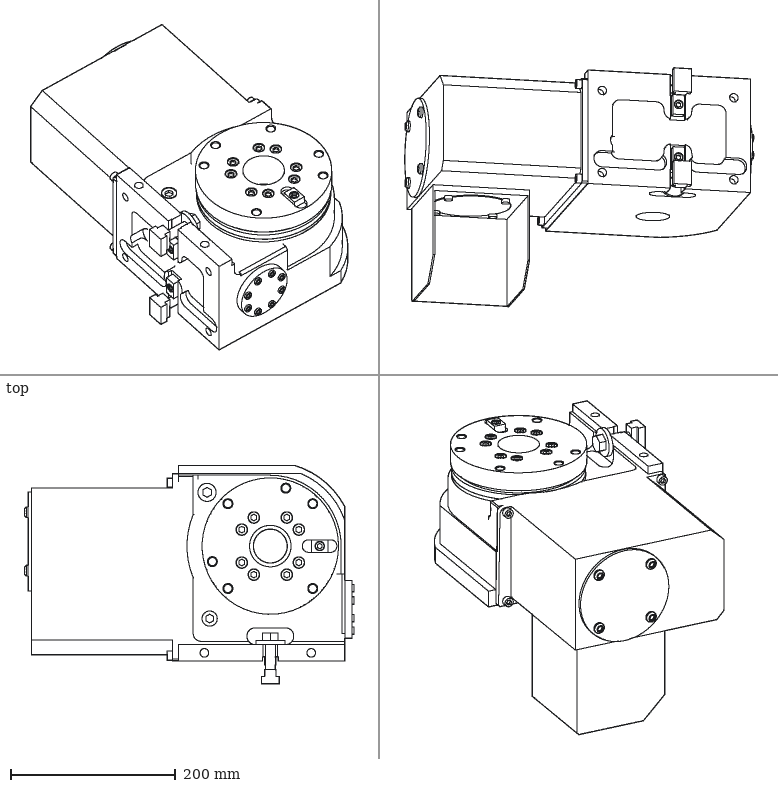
import cadquery as cq
import math


PLATE_LEFT, PLATE_RIGHT = -111.5, 90.2
PLATE_FRONT = -139.5
PLATE_THICKNESS = 20.0
PLATE_BACK = PLATE_FRONT + PLATE_THICKNESS
PLATE_HEIGHT = 142.0
MID_Z = PLATE_HEIGHT / 2
PLATE_HOLE_DIA = 10.5
PLATE_HOLE_DEPTH = 16.0
FACE_HOLE_XS = (-94.0, 69.5)
FACE_HOLE_ZS = (14.8, 117.5)
TOP_HOLE_XS = (-80.0, 49.5)

POCKET_LEFT, POCKET_RIGHT = -81.0, 60.0
POCKET_HALF_HEIGHT = 36.0
POCKET_DEPTH = 19.0
POCKET_CORNER = 10.0
POCKET_FLOOR_FILLET = 6.5
LOBE_HALF_WIDTH = 17.0
LOBE_TIP_OFFSET = 15.5
RELIEF_SPANS = ((-104.2, -14.0), (14.0, 85.5))
RELIEF_WIDTH, RELIEF_DEPTH = 20.5, 8.8
RELIEF_Z = 32.0
RELIEF_HOLE_DIA = 20.0
RELIEF_HOLE_X, RELIEF_HOLE_Z = -73.5, 56.0

CLAMP_SLOT_WIDTH = 17.0
CLAMP_SLOT_OFFSET = 46.5
KEYWAY_WIDTH = 18.8
KEYWAY_DEPTH = 5.0
KEY_WIDTH = 14.0
KEY_NEAR, KEY_FAR = 20.5, 45.5
KEY_PROUD = 4.8
KEY_SCREW_DIA = 10.8
BOLT_OFFSET = 58.0
BOLT_DIA = 12.0
BOLT_FRONT = -167.0
BOLT_HEAD_WIDTH, BOLT_HEAD_HEIGHT, BOLT_HEAD_THICKNESS = 22.0, 29.0, 9.0
BOLT_NECK_WIDTH, BOLT_NECK_LENGTH = 14.0, 8.0
WASHER_DIA, WASHER_THICKNESS = 35.0, 5.0
NUT_FLATS, NUT_THICKNESS = 19.0, 8.8
NUT_POCKET_WIDTH, NUT_POCKET_REACH = 56.7, 20.5
NUT_POCKET_CORNER = 10.0
NUT_POCKET_OFFSET = 35.0

HOUSING_BACK = 88.0
UPPER_BACK = 86.0
HOUSING_TOP = 131.8
FLOOR_Z = 109.5
UPPER_CORNER_RADIUS = UPPER_BACK
UPPER_RIGHT_END = -34.0
UPPER_EDGE_FILLET = 4.8
RIM_MARGIN = 1.0
RIGHT_EDGE_CHAMFER = 3.5
LOWER_CORNER_RADIUS = 95.5
LOWER_BODY_TOP = 72.0
BASE_BACK = 98.0
BASE_HEIGHT = 21.0
BASE_CORNER_RADIUS = 102.2
FLOOR_LEFT, FLOOR_FRONT = -93.5, -115.5
FLOOR_CLEARANCE_RADIUS = 101.0
FLOOR_FILLET = 5.5
FRONT_FLOOR_FILLET = 9.5
NECK_EDGE_CHAMFER = 1.5
PLUG_RECESS = 1.0
PLUGS = ((-76.5, 65.0, 22.0, 10.5), (-73.5, -88.0, 18.5, 9.0))

TABLE_TOP = 151.0
TABLE_DIA, TABLE_THICKNESS = 165.5, 24.0
RING_DIA, RING_TOP = 162.5, 121.0
BASE_RING_DIA, BASE_RING_TOP = 163.0, 114.0
GROOVE_DIA = 151.7
BORE_DIA, BORE_DEPTH = 50.5, 48.0
THROUGH_BORE_DIA = 40.7
TAP_CIRCLE_RADIUS = 72.5
TAP_ANGLES = (45, 75, 135, 195, 225, 315)
TAP_DIA, TAP_MOUTH_DIA, TAP_DEPTH = 10.0, 12.0, 18.0
TABLE_SCREW_RADIUS = 40.0
TABLE_SCREW_ANGLES = (30, 60, 120, 150, 210, 240, 300, 330)
TABLE_SCREW_DIA = 14.0
TABLE_SLOT_START, TABLE_SLOT_END = 38.7, 80.5
TABLE_SLOT_WIDTH, TABLE_SLOT_DEPTH = 15.0, 4.8
TABLE_KEY_X, TABLE_KEY_LENGTH, TABLE_KEY_TOP = 60.0, 20.5, 155.7
TABLE_KEY_SCREW_DIA = 11.0

FLANGE_LEFT = -118.5
FLANGE_BOTTOM, FLANGE_TOP = 0.8, HOUSING_TOP
FLANGE_FRONT = -139.0
FLANGE_EDGE_CHAMFER = 2.0
FLANGE_CORNER = 8.0
FLANGE_SCREW_DIA, FLANGE_SCREW_LENGTH, FLANGE_SCREW_HEX = 11.0, 6.5, 5.5
FLANGE_SCREW_YS, FLANGE_SCREW_ZS = (-133.0, 76.5), (7.0, 125.5)
MOTOR_LEFT = -289.5
MOTOR_FRONT, MOTOR_BACK = -131.8, 70.5
MOTOR_BOTTOM, MOTOR_TOP = 10.5, HOUSING_TOP
MOTOR_TOP_CHAMFER = (18.0, 16.5)
MOTOR_BOTTOM_CHAMFER = (10.0, 10.5)
END_COVER_DIA, END_COVER_THICKNESS = 120.0, 4.0
MOTOR_AXIS_Y, MOTOR_AXIS_Z = 5.5, 71.0
COVER_SCREW_SPACING = 70.5
COVER_SCREW_DIA, COVER_SCREW_HEIGHT, COVER_SCREW_HEX = 13.0, 4.5, 6.0

SIDE_COVER_DIA, SIDE_COVER_THICKNESS = 70.3, 8.8
SIDE_COVER_Y, SIDE_COVER_Z = -76.5, 67.0
SIDE_SCREW_RADIUS, SIDE_SCREW_COUNT = 28.0, 8
SIDE_SCREW_DIA, SIDE_SCREW_HEIGHT, SIDE_SCREW_HEX = 9.0, 2.5, 5.0

GUARD_LEFT, GUARD_RIGHT = -284.7, -165.0
GUARD_FRONT, GUARD_BACK = -53.5, 66.0
GUARD_BOTTOM = -106.2
GUARD_CHAMFER = 29.0
GUARD_WALL = 2.0
GUARD_BEND = 2.5
GUARD_TOP_THICKNESS = 7.0
GUARD_COVER_DIA, GUARD_COVER_THICKNESS = 97.5, 1.0
GUARD_SCREW_DIA, GUARD_SCREW_HEIGHT = 10.0, 4.5

SCREW_RECESS, SCREW_HEAD_HEIGHT = 4.8, 3.5
SCREW_GAP = 0.8
SCREW_SOCKET_DEPTH = 2.5
SCREW_SOCKET_RATIO = 0.5
DRILL_POINT_ANGLE = 118.0

AXES = {"x": (1, 0, 0), "y": (0, 1, 0), "z": (0, 0, 1)}


def block(x0, x1, y0, y1, z0, z1):
    """Box given by its limits."""
    return cq.Workplane("XY").box(x1 - x0, y1 - y0, z1 - z0, centered=False).translate((x0, y0, z0))


def along(direction, distance):
    """Vector of the given length along a signed axis such as '-y'."""
    sign = -1 if direction[0] == "-" else 1
    return tuple(sign * distance * c for c in AXES[direction[-1]])


def moved(point, direction, distance):
    return tuple(p + d for p, d in zip(point, along(direction, distance)))


def polar(radius, angle, z):
    """Point at a radius and an angle, in degrees, about the table axis."""
    a = math.radians(angle)
    return (radius * math.cos(a), radius * math.sin(a), z)


def plane(point, direction):
    """Work plane at a point, whose normal is a signed axis."""
    x_dir = AXES["z"] if direction[-1] == "x" else AXES["x"]
    return cq.Workplane(cq.Plane(point, x_dir, along(direction, 1)))


def rod(point, direction, diameter, length):
    return plane(point, direction).circle(diameter / 2).extrude(length)


def cone(point, direction, start_diameter, end_diameter, length):
    solid = cq.Solid.makeCone(start_diameter / 2, end_diameter / 2, length,
                              cq.Vector(*point), cq.Vector(*along(direction, 1)))
    return cq.Workplane(solid)


def hexagon(point, direction, flats, length):
    """Hexagonal prism with two corners on the local Y axis."""
    corners = flats / math.cos(math.pi / 6)
    prism = plane(point, direction).transformed(rotate=(0, 0, 90)).polygon(6, corners)
    return prism.extrude(length)


def cap_screw(point, direction, diameter, height, flats):
    """Screw head standing on a face, with a hexagonal socket half as deep as the head."""
    head = rod(point, direction, diameter, height)
    return head.cut(hexagon(moved(point, direction, height / 2), direction, flats, height))


def drilled_hole(point, direction, diameter, depth):
    """Cutter for a blind hole with a conical bottom."""
    point_length = diameter / 2 / math.tan(math.radians(DRILL_POINT_ANGLE / 2))
    tip = cone(moved(point, direction, depth), direction, diameter, 0, point_length)
    return rod(point, direction, diameter, depth).union(tip)


def recessed_screw(body, point, direction, diameter):
    """Sink a socket screw into a face; the direction points into the body."""
    body = body.cut(rod(point, direction, diameter, SCREW_RECESS))
    head_top = moved(point, direction, SCREW_RECESS - SCREW_HEAD_HEIGHT)
    head = rod(head_top, direction, diameter - SCREW_GAP, SCREW_HEAD_HEIGHT)
    socket = hexagon(head_top, direction, SCREW_SOCKET_RATIO * diameter, SCREW_SOCKET_DEPTH)
    return body.union(head.cut(socket))


def rounded_slab(back, radius, height):
    """Slab whose back right corner is an arc about the table axis."""
    arc_x = math.sqrt(radius**2 - back**2)
    arc_y = math.sqrt(radius**2 - PLATE_RIGHT**2)
    middle = math.atan2(back, arc_x) / 2 + math.atan2(arc_y, PLATE_RIGHT) / 2
    outline = (
        cq.Workplane("XY")
        .moveTo(PLATE_LEFT, PLATE_BACK)
        .lineTo(PLATE_RIGHT, PLATE_BACK)
        .lineTo(PLATE_RIGHT, arc_y)
        .threePointArc((radius * math.cos(middle), radius * math.sin(middle)), (arc_x, back))
        .lineTo(PLATE_LEFT, back)
        .close()
    )
    return outline.extrude(height)


def upper_body():
    """Upper part of the housing, rounded about the table axis."""
    diagonal = UPPER_CORNER_RADIUS * math.sqrt(0.5)
    body = (
        cq.Workplane("XY")
        .moveTo(FLOOR_LEFT, PLATE_BACK)
        .lineTo(PLATE_RIGHT, PLATE_BACK)
        .lineTo(PLATE_RIGHT, UPPER_RIGHT_END)
        .lineTo(UPPER_CORNER_RADIUS, UPPER_RIGHT_END)
        .lineTo(UPPER_CORNER_RADIUS, 0)
        .threePointArc((diagonal, diagonal), (0, UPPER_BACK))
        .lineTo(FLOOR_LEFT, UPPER_BACK)
        .close()
        .extrude(FLOOR_Z)
    )
    rim_zone = cq.selectors.BoxSelector(
        (PLATE_LEFT / 2, 0, LOWER_BODY_TOP), (PLATE_RIGHT, HOUSING_BACK, HOUSING_TOP))
    side_zone = cq.selectors.BoxSelector(
        (UPPER_CORNER_RADIUS - RIM_MARGIN, UPPER_RIGHT_END, LOWER_BODY_TOP),
        (UPPER_CORNER_RADIUS + RIM_MARGIN, 0, HOUSING_TOP))
    rim = body.faces(">Z").edges(rim_zone + side_zone)
    body = rim.fillet(UPPER_EDGE_FILLET)
    return body.edges(">X and >Z").chamfer(RIGHT_EDGE_CHAMFER)


def raised_border():
    """Motor-side neck and front rim that stand above the sunken housing top."""
    border = block(PLATE_LEFT, PLATE_RIGHT, PLATE_BACK, UPPER_BACK, LOWER_BODY_TOP, HOUSING_TOP)
    border = border.edges("|X and >Y and >Z").chamfer(NECK_EDGE_CHAMFER)
    far = 2 * PLATE_RIGHT
    corner_block = block(FLOOR_LEFT, far, FLOOR_FRONT, far, FLOOR_Z, TABLE_TOP)
    corner_block = corner_block.edges("<X and <Z").fillet(FLOOR_FILLET)
    corner_block = corner_block.edges("<Y and <Z").fillet(FRONT_FLOOR_FILLET)
    clearance = rod((0, 0, FLOOR_Z), "z", 2 * FLOOR_CLEARANCE_RADIUS, HOUSING_TOP)
    clearance = clearance.faces("<Z").edges().fillet(FLOOR_FILLET)
    open_side = block(FLOOR_LEFT + FLOOR_FILLET, far, FLOOR_FRONT + FRONT_FLOOR_FILLET, far, 0, FLOOR_Z)
    return border.cut(corner_block).cut(clearance).cut(open_side)


def add_plugs(body):
    for x, y, diameter, flats in PLUGS:
        top = (x, y, FLOOR_Z)
        body = body.cut(rod(top, "-z", diameter, PLUG_RECESS))
        body = body.cut(hexagon(top, "-z", flats, SCREW_RECESS))
    return body


def housing():
    body = rounded_slab(HOUSING_BACK, LOWER_CORNER_RADIUS, LOWER_BODY_TOP)
    body = body.union(rounded_slab(BASE_BACK, BASE_CORNER_RADIUS, BASE_HEIGHT))
    body = body.union(upper_body()).union(raised_border())
    return add_plugs(body)


def pocket_cutter():
    """Bow-tie pocket around the two clamp-slot lobes, with a filleted floor."""
    r = POCKET_CORNER
    right, left = POCKET_RIGHT, POCKET_LEFT
    lobe, tip, half = LOBE_HALF_WIDTH, LOBE_TIP_OFFSET, POCKET_HALF_HEIGHT
    outline = plane((0, PLATE_FRONT, MID_Z), "-y").polyline([
        (left, -half), (-lobe, -half), (-lobe, -tip), (lobe, -tip), (lobe, -half), (right, -half),
        (right, half), (lobe, half), (lobe, tip), (-lobe, tip), (-lobe, half), (left, half),
    ])
    pocket = outline.close().extrude(-POCKET_DEPTH)
    pocket = pocket.edges("|Y").fillet(r)
    return pocket.faces(">Y").edges().fillet(POCKET_FLOOR_FILLET)


def relief_cutters():
    """Two shallow relief slots, and a round relief as deep as the pocket it opens into."""
    cutter = rod((RELIEF_HOLE_X, PLATE_FRONT, RELIEF_HOLE_Z), "y", RELIEF_HOLE_DIA, POCKET_DEPTH)
    for start, end in RELIEF_SPANS:
        slot = plane(((start + end) / 2, PLATE_FRONT, RELIEF_Z), "-y").slot2D(end - start, RELIEF_WIDTH)
        cutter = cutter.union(slot.extrude(-RELIEF_DEPTH))
    return cutter


def mounting_plate():
    plate = block(PLATE_LEFT, PLATE_RIGHT, PLATE_FRONT, PLATE_BACK, 0, PLATE_HEIGHT)
    plate = plate.cut(pocket_cutter()).cut(relief_cutters())
    for x in FACE_HOLE_XS:
        for z in FACE_HOLE_ZS:
            plate = plate.cut(drilled_hole((x, PLATE_FRONT, z), "y", PLATE_HOLE_DIA, PLATE_HOLE_DEPTH))
    for x in TOP_HOLE_XS:
        point = (x, (PLATE_FRONT + PLATE_BACK) / 2, PLATE_HEIGHT)
        plate = plate.cut(drilled_hole(point, "-z", PLATE_HOLE_DIA, PLATE_HOLE_DEPTH))
    return plate


def clamp_cutter():
    """Upper clamp slot, keyway and nut pocket."""
    reach = PLATE_HEIGHT
    slot = block(-CLAMP_SLOT_WIDTH / 2, CLAMP_SLOT_WIDTH / 2, PLATE_FRONT, PLATE_BACK,
                 MID_Z + CLAMP_SLOT_OFFSET, MID_Z + reach)
    keyway = block(-KEYWAY_WIDTH / 2, KEYWAY_WIDTH / 2, PLATE_FRONT, PLATE_FRONT + KEYWAY_DEPTH,
                   MID_Z + LOBE_TIP_OFFSET, MID_Z + reach)
    nut_pocket = block(-NUT_POCKET_WIDTH / 2, NUT_POCKET_WIDTH / 2, PLATE_BACK,
                       PLATE_BACK + NUT_POCKET_REACH, MID_Z + NUT_POCKET_OFFSET, MID_Z + reach)
    nut_pocket = nut_pocket.edges("|Z").fillet(NUT_POCKET_CORNER)
    return slot.union(keyway).union(nut_pocket)


def clamp_hardware():
    """Upper alignment key, with its screw, and upper T-bolt with washer and nut."""
    key_front = PLATE_FRONT - KEY_PROUD
    key = block(-KEY_WIDTH / 2, KEY_WIDTH / 2, key_front, PLATE_FRONT + KEYWAY_DEPTH,
                MID_Z + KEY_NEAR, MID_Z + KEY_FAR)
    key = recessed_screw(key, (0, key_front, MID_Z + (KEY_NEAR + KEY_FAR) / 2), "y", KEY_SCREW_DIA)

    z = MID_Z + BOLT_OFFSET
    nut_face = PLATE_BACK + WASHER_THICKNESS
    head_back = BOLT_FRONT + BOLT_HEAD_THICKNESS
    z_low, z_high = z - BOLT_HEAD_HEIGHT / 2, z + BOLT_HEAD_HEIGHT / 2
    head = block(-BOLT_HEAD_WIDTH / 2, BOLT_HEAD_WIDTH / 2, BOLT_FRONT, head_back, z_low, z_high)
    neck = block(-BOLT_NECK_WIDTH / 2, BOLT_NECK_WIDTH / 2, head_back, head_back + BOLT_NECK_LENGTH,
                 z_low, z_high)
    shank = rod((0, head_back, z), "y", BOLT_DIA, nut_face - head_back)
    washer = rod((0, PLATE_BACK, z), "y", WASHER_DIA, WASHER_THICKNESS)
    nut = hexagon((0, nut_face, z), "y", NUT_FLATS, NUT_THICKNESS)
    return key.union(head).union(neck).union(shank).union(washer).union(nut)


def mirrored_pair(upper):
    """The upper shape together with its mirror image about the plate's mid height."""
    return upper.union(upper.mirror("XY", (0, 0, MID_Z)))


def rotary_table():
    table = rod((0, 0, TABLE_TOP), "-z", TABLE_DIA, TABLE_THICKNESS)
    table = table.union(rod((0, 0, FLOOR_Z), "z", GROOVE_DIA, TABLE_TOP - TABLE_THICKNESS - FLOOR_Z))
    table = table.union(rod((0, 0, FLOOR_Z), "z", RING_DIA, RING_TOP - FLOOR_Z))
    table = table.union(rod((0, 0, FLOOR_Z), "z", BASE_RING_DIA, BASE_RING_TOP - FLOOR_Z))
    for angle in TAP_ANGLES:
        point = polar(TAP_CIRCLE_RADIUS, angle, TABLE_TOP)
        table = table.cut(rod(point, "-z", TAP_DIA, TAP_DEPTH))
        mouth_depth = (TAP_MOUTH_DIA - TAP_DIA) / 2
        table = table.cut(cone(point, "-z", TAP_MOUTH_DIA, TAP_DIA, mouth_depth))
    for angle in TABLE_SCREW_ANGLES:
        table = recessed_screw(table, polar(TABLE_SCREW_RADIUS, angle, TABLE_TOP), "-z", TABLE_SCREW_DIA)
    return add_table_key(table)


def add_table_key(table):
    """Round-ended slot in the table face, holding a screwed-down key."""
    slot_mid = (TABLE_SLOT_START + TABLE_SLOT_END) / 2
    slot = plane((slot_mid, 0, TABLE_TOP), "z").slot2D(TABLE_SLOT_END - TABLE_SLOT_START, TABLE_SLOT_WIDTH)
    table = table.cut(slot.extrude(-TABLE_SLOT_DEPTH))
    half_length, half_width = TABLE_KEY_LENGTH / 2, TABLE_SLOT_WIDTH / 2
    key = block(TABLE_KEY_X - half_length, TABLE_KEY_X + half_length, -half_width, half_width,
                TABLE_TOP - TABLE_SLOT_DEPTH, TABLE_KEY_TOP)
    key = recessed_screw(key, (TABLE_KEY_X, 0, TABLE_KEY_TOP), "-z", TABLE_KEY_SCREW_DIA)
    return table.union(key)


def cut_bore(body):
    body = body.cut(rod((0, 0, TABLE_TOP), "-z", BORE_DIA, BORE_DEPTH))
    return body.cut(rod((0, 0, TABLE_TOP), "-z", THROUGH_BORE_DIA, TABLE_TOP))


def motor_flange():
    """Flange with a slightly sloping back, screwed to the housing at its corners."""
    flange = cq.Workplane("YZ", origin=(FLANGE_LEFT, 0, 0)).polyline([
        (FLANGE_FRONT, FLANGE_BOTTOM),
        (HOUSING_BACK, FLANGE_BOTTOM),
        (UPPER_BACK, FLANGE_TOP),
        (FLANGE_FRONT, FLANGE_TOP),
    ]).close().extrude(PLATE_LEFT - FLANGE_LEFT)
    flange = flange.edges("|X and <Z").chamfer(FLANGE_EDGE_CHAMFER)
    flange = flange.edges("|X and >Z").edges("<Y").chamfer(FLANGE_EDGE_CHAMFER)
    flange = flange.edges("|X and >Z").edges(">Y").fillet(FLANGE_CORNER)
    for y in FLANGE_SCREW_YS:
        for z in FLANGE_SCREW_ZS:
            flange = flange.union(cap_screw((FLANGE_LEFT, y, z), "-x", FLANGE_SCREW_DIA,
                                            FLANGE_SCREW_LENGTH, FLANGE_SCREW_HEX))
    return flange


def motor_cover():
    """Motor cover with bevelled front edges and a screwed round end cover."""
    top_y, top_z = MOTOR_TOP_CHAMFER
    bottom_y, bottom_z = MOTOR_BOTTOM_CHAMFER
    cover = cq.Workplane("YZ", origin=(MOTOR_LEFT, 0, 0)).polyline([
        (MOTOR_BACK, MOTOR_BOTTOM),
        (MOTOR_BACK, MOTOR_TOP),
        (MOTOR_FRONT + top_y, MOTOR_TOP),
        (MOTOR_FRONT, MOTOR_TOP - top_z),
        (MOTOR_FRONT, MOTOR_BOTTOM + bottom_z),
        (MOTOR_FRONT + bottom_y, MOTOR_BOTTOM),
    ]).close().extrude(FLANGE_LEFT - MOTOR_LEFT)
    cover = cover.union(rod((MOTOR_LEFT, MOTOR_AXIS_Y, MOTOR_AXIS_Z), "-x", END_COVER_DIA,
                            END_COVER_THICKNESS))
    half = COVER_SCREW_SPACING / 2
    for y in (MOTOR_AXIS_Y - half, MOTOR_AXIS_Y + half):
        for z in (MOTOR_AXIS_Z - half, MOTOR_AXIS_Z + half):
            screw = cap_screw((MOTOR_LEFT - END_COVER_THICKNESS, y, z), "-x", COVER_SCREW_DIA,
                              COVER_SCREW_HEIGHT, COVER_SCREW_HEX)
            cover = cover.union(screw.faces("<X").edges("%CIRCLE").chamfer(COVER_SCREW_HEIGHT / 2))
    return cover


def side_cover():
    """Round cover on the housing's right side, with a ring of screws."""
    cover = rod((PLATE_RIGHT, SIDE_COVER_Y, SIDE_COVER_Z), "x", SIDE_COVER_DIA, SIDE_COVER_THICKNESS)
    for i in range(SIDE_SCREW_COUNT):
        a = 2 * math.pi * (i + 0.5) / SIDE_SCREW_COUNT
        point = (PLATE_RIGHT + SIDE_COVER_THICKNESS,
                 SIDE_COVER_Y + SIDE_SCREW_RADIUS * math.cos(a),
                 SIDE_COVER_Z + SIDE_SCREW_RADIUS * math.sin(a))
        cover = cover.union(cap_screw(point, "x", SIDE_SCREW_DIA, SIDE_SCREW_HEIGHT, SIDE_SCREW_HEX))
    return cover


def connector_guard():
    """U-shaped guard, open to the front and below, hung from a solid top plate."""
    guard = block(GUARD_LEFT, GUARD_RIGHT, GUARD_FRONT, GUARD_BACK, GUARD_BOTTOM, MOTOR_BOTTOM)
    guard = guard.edges("|X and <Y and <Z").chamfer(GUARD_CHAMFER)
    guard = guard.edges("|X and >Y and <Z").chamfer(GUARD_BEND)
    ceiling = MOTOR_BOTTOM - GUARD_TOP_THICKNESS
    guard = guard.cut(block(GUARD_LEFT + GUARD_WALL, GUARD_RIGHT - GUARD_WALL, GUARD_FRONT,
                            GUARD_BACK - GUARD_WALL, GUARD_BOTTOM, ceiling))
    mid_x, mid_y = (GUARD_LEFT + GUARD_RIGHT) / 2, (GUARD_FRONT + GUARD_BACK) / 2
    guard = guard.union(rod((mid_x, mid_y, ceiling), "-z", GUARD_COVER_DIA, GUARD_COVER_THICKNESS))
    half = COVER_SCREW_SPACING / 2
    for x in (mid_x - half, mid_x + half):
        for y in (mid_y - half, mid_y + half):
            guard = guard.union(rod((x, y, ceiling), "-z", GUARD_SCREW_DIA, GUARD_SCREW_HEIGHT))
    return guard


result = housing().union(mounting_plate())
result = result.cut(mirrored_pair(clamp_cutter()))
result = result.union(mirrored_pair(clamp_hardware()))
result = cut_bore(result.union(rotary_table()))
result = result.union(motor_flange()).union(motor_cover())
result = result.union(side_cover()).union(connector_guard())